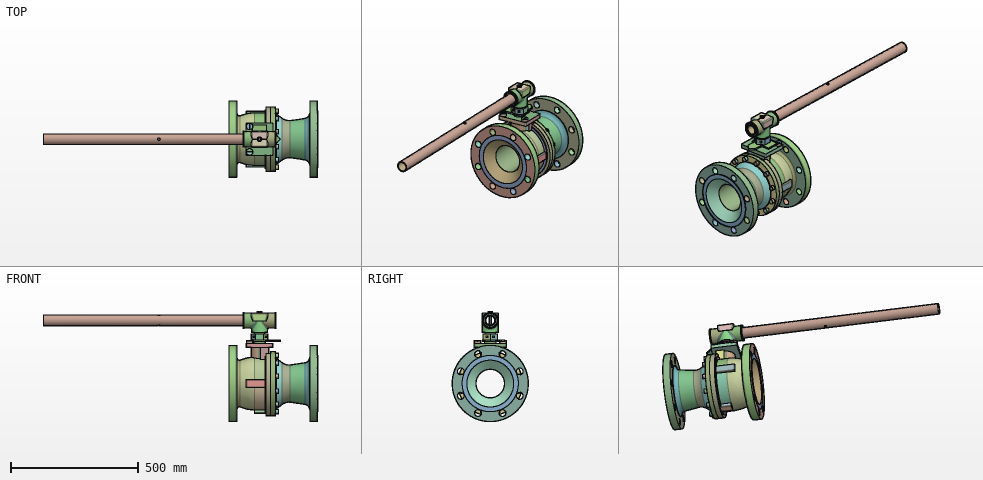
import cadquery as cq
import math


face_to_face = 350.0
inlet_x = -120.0
outlet_x = inlet_x + face_to_face
bore_d = 111.12
mouth_d = 184.0
mouth_depth = 35.0

flange_d = 300.0
inlet_flange_t = 32.0
outlet_flange_t = 29.0
raised_face_d = 221.0
raised_face_h = 3.0
inlet_recess_depth = 0.5
inlet_bevel_length = 3.5
inlet_bevel_drop = 1.0
flange_bolt_circle_d = 250.0
flange_hole_d = 26.0
flange_hole_count = 8

root_r = 101.5
root_land = 2.0
inlet_neck_r = 92.0
inlet_neck_x = -77.0
chamber_r = 104.0
chamber_start_x = -20.0
collar_x = 21.5
collar_r = 115.0
joint_start_x = 25.0
joint_mid_x = 44.0
joint_end_x = 62.0
joint_d = 254.0
joint_mate_d = 253.8
joint_flat_z = 119.0
shoulder_r = 100.0
shoulder_x = 66.0
waist_start_x = 88.0
waist_start_r = 83.0
waist_x = 120.0
waist_r = 73.5
flare_x = 178.0
flare_r = 82.0

screw_count = 12
screw_circle_r = 114.0
screw_head_d = 18.0
screw_head_h = 12.5

side_pad_x = -53.0
side_pad_w = 32.0
side_pad_y = 110.0
bottom_pad_x = -20.0
bottom_pad_z = -117.0
pad_edge_r = 3.0

tower_d = 66.0
tower_block_x = (3.0, 37.0)
tower_block_w = 86.0
tower_corner_r = 6.5
tower_base_z = 80.0
plate_z = (142.0, 158.0)
plate_length = 105.0
plate_width = 128.0
plate_corner_r = 4.0
stop_d = 26.0
stop_h = 11.0
stop_x = -39.0
stop_y = 50.0
stop_slot_w = 1.5
stop_slot_depth = 2.0
gland_d = 46.58

indicator_z = (166.0, 172.0)
indicator_half_x = 27.0
indicator_y = (-30.0, 56.0)
pointer_tip_x = 82.0
pointer_half_w = 20.0

nut_z = (172.0, 195.0)
nut_corner_d = 66.0
nut_pocket_side = 7.0
nut_pocket_depth = 3.0
nut_face_angles = (30, 150, 210, 330)
stem_neck_d = 42.5

hub_axis_z = 248.0
hub_d = 60.0
hub_stub_d = 63.0
hub_stub_fillet = 6.0
hub_half_length = 65.0
rim_d = 63.0
rim_w = 5.0
rim_recess_d = 54.0
rim_recess_depth = 3.0
hub_base_z = 201.0
clamp_foot_length = 56.0
clamp_length = 66.0
clamp_width = 64.0
clamp_z = (246.0, 278.0)
clamp_shoulder_z = 264.0
clamp_edge_r = 5.0
clamp_split_w = 1.5
clamp_split_depth = 2.0
cap_d = 18.0
cap_top_z = 282.5
cap_socket_d = 10.11
cap_socket_depth = 1.5
pin_d = 9.0

overall_length = 1078.46
tube_od = 42.5
tube_id = 35.5
tube_start_x = outlet_x - overall_length
cross_hole_d = 9.0
cross_hole_x = -395.0


def cylinder_x(diameter, x0, x1, z=0.0):
    return cq.Workplane("YZ", origin=(x0, 0, z)).circle(diameter / 2).extrude(x1 - x0)


def cylinder_z(diameter, z0, z1, x=0.0, y=0.0):
    return cq.Workplane("XY", origin=(x, y, z0)).circle(diameter / 2).extrude(z1 - z0)


def block(x_range, y_range, z_range):
    size = [high - low for low, high in (x_range, y_range, z_range)]
    corner = (x_range[0], y_range[0], z_range[0])
    return cq.Workplane("XY").box(*size, centered=False).translate(corner)


def centred(width):
    return (-width / 2, width / 2)


def body_castings():
    inlet_back_x = inlet_x + inlet_flange_t
    outlet_seat_x = outlet_x - raised_face_h
    outlet_back_x = outlet_seat_x - outlet_flange_t
    profile = (
        cq.Workplane("XZ")
        .moveTo(inlet_x, 0)
        .lineTo(inlet_x, flange_d / 2)
        .lineTo(inlet_back_x - inlet_bevel_length, flange_d / 2)
        .lineTo(inlet_back_x, flange_d / 2 - inlet_bevel_drop)
        .lineTo(inlet_back_x, root_r)
        .tangentArcPoint((inlet_neck_x, inlet_neck_r), relative=False)
        .spline([(chamber_start_x, chamber_r)], tangents=[(1, 0.4), (1, 0)], includeCurrent=True)
        .lineTo(collar_x, chamber_r)
        .lineTo(collar_x, collar_r)
        .lineTo(joint_start_x, collar_r)
        .lineTo(joint_start_x, joint_d / 2)
        .lineTo(joint_mid_x, joint_d / 2)
        .lineTo(joint_mid_x, joint_mate_d / 2)
        .lineTo(joint_end_x, joint_mate_d / 2)
        .lineTo(joint_end_x, shoulder_r)
        .lineTo(shoulder_x, shoulder_r)
        .lineTo(waist_start_x, waist_start_r)
        .tangentArcPoint((waist_x, waist_r), relative=False)
        .lineTo(flare_x, flare_r)
        .tangentArcPoint((outlet_back_x - root_land, root_r), relative=False)
        .lineTo(outlet_back_x, root_r)
        .lineTo(outlet_back_x, flange_d / 2)
        .lineTo(outlet_seat_x, flange_d / 2)
        .lineTo(outlet_seat_x, raised_face_d / 2)
        .lineTo(outlet_x, raised_face_d / 2)
        .lineTo(outlet_x, 0)
        .close()
    )
    return profile.revolve(360, (0, 0, 0), (1, 0, 0))


def joint_flat():
    return block((joint_start_x, joint_mid_x), centred(joint_d), (joint_flat_z, joint_d / 2))


def flow_passage():
    profile = (
        cq.Workplane("XZ")
        .moveTo(inlet_x, 0)
        .lineTo(inlet_x, mouth_d / 2)
        .lineTo(inlet_x + mouth_depth, bore_d / 2)
        .lineTo(outlet_x - mouth_depth, bore_d / 2)
        .lineTo(outlet_x, mouth_d / 2)
        .lineTo(outlet_x, 0)
        .close()
    )
    return profile.revolve(360, (0, 0, 0), (1, 0, 0))


def flange_holes():
    """Bolt holes limited to the two pipe flanges."""
    holes = (
        cq.Workplane("YZ", origin=(inlet_x, 0, 0))
        .polarArray(flange_bolt_circle_d / 2, 180 / flange_hole_count, 360, flange_hole_count)
        .circle(flange_hole_d / 2)
        .extrude(face_to_face)
    )
    inlet_slice = cylinder_x(flange_d, inlet_x, inlet_x + inlet_flange_t)
    outlet_slice = cylinder_x(flange_d, outlet_x - raised_face_h - outlet_flange_t, outlet_x)
    return holes.intersect(inlet_slice.union(outlet_slice))


def joint_screws():
    return (
        cq.Workplane("YZ", origin=(joint_end_x, 0, 0))
        .polarArray(screw_circle_r, 180 / screw_count, 360, screw_count)
        .circle(screw_head_d / 2)
        .extrude(screw_head_h)
    )


def casting_pads():
    inner_r = (bore_d / 2 + chamber_r) / 2
    side = block((side_pad_x, joint_start_x), (-side_pad_y, -inner_r), centred(side_pad_w))
    side = side.faces("<Y").edges("not >X").fillet(pad_edge_r)
    bottom = block((bottom_pad_x, joint_start_x), centred(side_pad_w), (bottom_pad_z, -inner_r))
    bottom = bottom.faces("<Z").edges("|X").fillet(pad_edge_r)
    return side.union(side.mirror("XZ")).union(bottom)


def stop_screw(slot_angle):
    head = cylinder_z(stop_d, 0, stop_h)
    slot = block(centred(stop_d), centred(stop_slot_w), (stop_h - stop_slot_depth, stop_h))
    return head.cut(slot.rotate((0, 0, 0), (0, 0, 1), slot_angle))


def stem_tower():
    column = cylinder_z(tower_d, tower_base_z, plate_z[0])
    web = block(tower_block_x, centred(tower_block_w), (tower_base_z, plate_z[0]))
    neck = column.union(web)
    corners = cq.selectors.BoxSelector(
        (0, -tower_d / 2, tower_base_z), (2 * tower_block_x[0], tower_d / 2, plate_z[0])
    )
    neck = neck.edges("|Z").edges(corners).fillet(tower_corner_r)
    plate = block(centred(plate_length), centred(plate_width), plate_z)
    plate = plate.edges("|Z").fillet(plate_corner_r)
    tower = neck.union(plate)
    for y, slot_angle in ((-stop_y, 0), (stop_y, 90)):
        tower = tower.union(stop_screw(slot_angle).translate((stop_x, y, plate_z[1])))
    return tower.union(cylinder_z(gland_d, plate_z[1], indicator_z[0]))


def indicator_plate():
    wing = block(centred(2 * indicator_half_x), indicator_y, indicator_z)
    pointer = (
        cq.Workplane("XY", origin=(0, 0, indicator_z[0]))
        .moveTo(0, -pointer_half_w)
        .lineTo(pointer_tip_x - pointer_half_w, -pointer_half_w)
        .lineTo(pointer_tip_x, 0)
        .lineTo(pointer_tip_x - pointer_half_w, pointer_half_w)
        .lineTo(0, pointer_half_w)
        .close()
        .extrude(indicator_z[1] - indicator_z[0])
    )
    return wing.union(pointer)


def stem_nut():
    height = nut_z[1] - nut_z[0]
    nut = cq.Workplane("XY", origin=(0, 0, nut_z[0])).polygon(6, nut_corner_d).extrude(height)
    face_distance = nut_corner_d / 2 * math.cos(math.pi / 6)
    pocket = block(
        (face_distance - nut_pocket_depth, face_distance),
        centred(nut_pocket_side),
        centred(nut_pocket_side),
    ).translate((0, 0, (nut_z[0] + nut_z[1]) / 2))
    for angle in nut_face_angles:
        nut = nut.cut(pocket.rotate((0, 0, 0), (0, 0, 1), angle))
    return nut.union(cylinder_z(stem_neck_d, nut_z[1], hub_base_z))


def hub_stub():
    """Lower half of a filleted tee between the hub and its downward stub."""
    tee = cylinder_x(hub_d, -hub_half_length, hub_half_length, hub_axis_z)
    tee = tee.union(cylinder_z(hub_stub_d, hub_base_z, hub_axis_z + hub_stub_d / 2))
    tee = tee.edges("%BSPLINE").fillet(hub_stub_fillet)
    lower_half = block(centred(2 * hub_half_length), centred(hub_stub_d), (hub_base_z, hub_axis_z))
    return tee.intersect(lower_half)


def lever_hub():
    hub = cylinder_x(hub_d, -hub_half_length, hub_half_length, hub_axis_z)
    hub = hub.union(hub_stub())
    rim = cylinder_x(rim_d, -hub_half_length, rim_w - hub_half_length, hub_axis_z)
    recess = cylinder_x(rim_recess_d, -hub_half_length, rim_recess_depth - hub_half_length, hub_axis_z)
    hub = hub.union(rim).union(rim.mirror("YZ"))
    hub = hub.cut(recess).cut(recess.mirror("YZ"))
    return hub.union(clamp_block()).cut(cap_socket())


def cap_socket():
    return cylinder_z(cap_socket_d, cap_top_z - cap_socket_depth, cap_top_z)


def clamp_block():
    """Top block of the hub, split along X and closed by a round screw cap."""
    clamp = (
        cq.Workplane("XZ", origin=(0, clamp_width / 2, 0))
        .moveTo(-clamp_foot_length / 2, clamp_z[0])
        .lineTo(clamp_foot_length / 2, clamp_z[0])
        .lineTo(clamp_length / 2, clamp_shoulder_z)
        .lineTo(clamp_length / 2, clamp_z[1])
        .lineTo(-clamp_length / 2, clamp_z[1])
        .lineTo(-clamp_length / 2, clamp_shoulder_z)
        .close()
        .extrude(clamp_width)
    )
    clamp = clamp.edges("not <Z").fillet(clamp_edge_r)
    split_floor_z = clamp_z[1] - clamp_split_depth
    clamp = clamp.cut(block(centred(clamp_length), centred(clamp_split_w), (split_floor_z, clamp_z[1])))
    return clamp.union(cylinder_z(cap_d, split_floor_z, cap_top_z))


def lever_tube():
    return cylinder_x(tube_od, tube_start_x, hub_half_length, hub_axis_z)


def tube_bore():
    return cylinder_x(tube_id, tube_start_x, hub_half_length, hub_axis_z)


def cross_hole():
    return cylinder_z(cross_hole_d, hub_axis_z - tube_od, hub_axis_z + tube_od, cross_hole_x)


def retaining_pin():
    return cylinder_z(pin_d, hub_axis_z - tube_od / 2, hub_axis_z + tube_od / 2)


body = body_castings().cut(joint_flat())
body = body.union(casting_pads()).union(joint_screws()).union(stem_tower())
body = body.cut(flow_passage()).cut(flange_holes())
body = body.cut(cylinder_x(raised_face_d, inlet_x, inlet_x + inlet_recess_depth))

lever = lever_hub().union(lever_tube()).cut(tube_bore()).cut(cross_hole())
lever = lever.union(retaining_pin())

result = body.union(indicator_plate()).union(stem_nut()).union(lever)